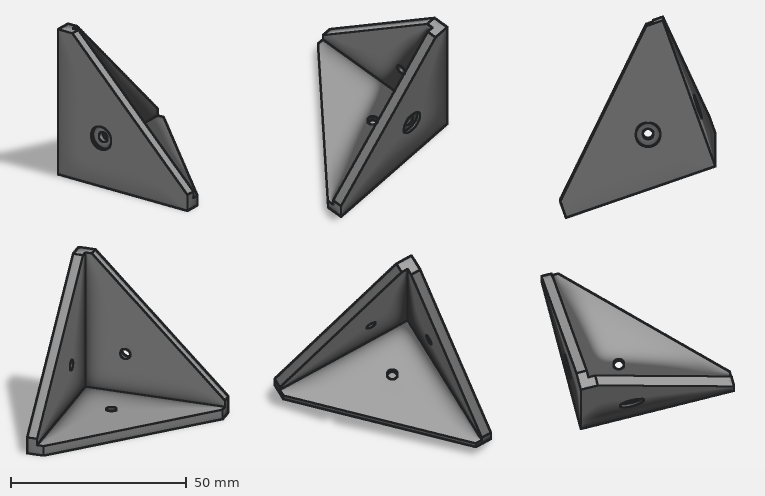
import cadquery as cq

side = 45.0
wall = 3.0
tip_width = 5.0
hole_offset = side / 3
hole_diameter = 3.0
counterbore_diameter = 7.0
counterbore_depth = 1.0


def plate(plane):
    """Plate with blunt tips, growing from its outer face along the plane normal."""
    outline = [(0, 0), (side, 0), (side, tip_width), (tip_width, side), (0, side)]
    return cq.Workplane(plane).polyline(outline).close().extrude(wall)


def screw_hole(plane):
    """Through hole with a counterbore sunk into the outer face of a plate."""
    center = cq.Workplane(plane).center(hole_offset, hole_offset)
    bore = center.circle(hole_diameter / 2).extrude(wall)
    counterbore = center.circle(counterbore_diameter / 2).extrude(counterbore_depth)
    return bore.union(counterbore)


outer_faces = ["XY", "YZ", "ZX"]

bracket = plate(outer_faces[0])
for face in outer_faces[1:]:
    bracket = bracket.union(plate(face))

for face in outer_faces:
    bracket = bracket.cut(screw_hole(face))

result = bracket